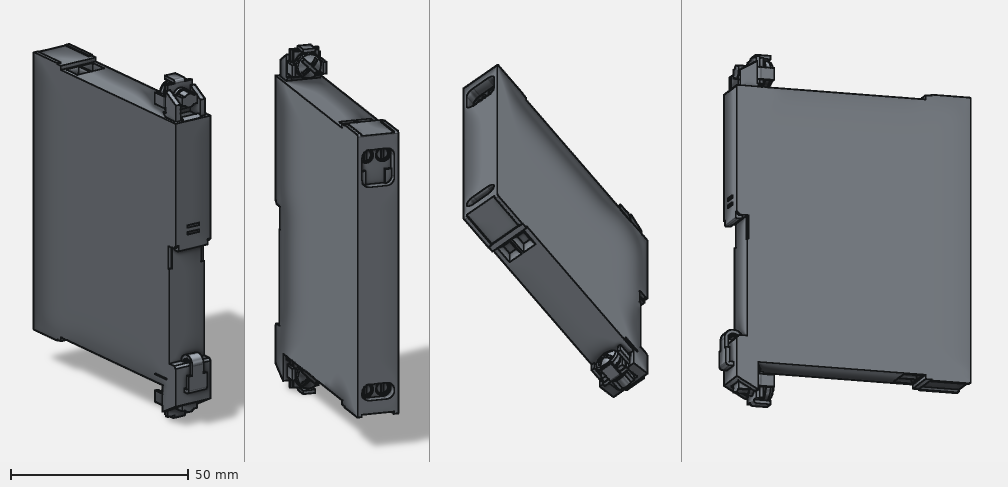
import cadquery as cq
import math


HEIGHT = 101.5
MID_Z = HEIGHT / 2
WIDTH = 12.2

BACK_X = 69.3
RAIL_X = 66.2
BODY_BOTTOM = 11.0
BODY_TOP = 91.1
COVER_RISE = 1.5
COVER_STEP_RISE = 1.2
COVER_RIB_X = 11.6
COVER_X = 13.4
COVER_CORNER = 0.5
RIB_THICKNESS = 1.2
TOP_RECESS = 0.3
BOTTOM_RECESS = 0.8
HOOK_Z = 53.5
HOOK_CHAMFER = 0.9
LEDGE_Z = 18.4
LEDGE_CHAMFER = 0.7
FOOT_X = 62.9
FOOT_TIP_Z = 2.9
FOOT_BACK_Z = 6.4

HOOK_LIP_X = 67.4
HOOK_LIP_Z = 52.6
HOOK_LIP_HEIGHT = 2.2
HOOK_LIP_WIDTH = 10.2
HOOK_LIP_ROUND = 0.4
SIDE_NOTCH_DEPTH = 0.4
SIDE_NOTCH_BOTTOM = 46.7
SIDE_NOTCH_WALL = 1.0
NUB_CENTERS_Z = (57.5, 59.6)
NUB_HEIGHT = 0.7
NUB_RISE = 0.2
NUB_WIDTH = 4.1

LUG_WIDTH = 10.2
LUG_BACK_X = 68.0
LUG_SLOPE = math.tan(math.radians(30))
LUG_TIP_Z = 99.0
SLOT_WIDTH = 6.9
LUG_WEDGE = 1.0
LUG_WEDGE_WIDTH = 6.1
GUSSET = 1.0

WINDOW_WIDTH = 9.7
WINDOW_DEPTH = 3.0
UPPER_WINDOW_BOTTOM = 77.0
UPPER_WINDOW_TOP = 88.0
UPPER_WINDOW_CORNER = 2.3
LOWER_WINDOW_BOTTOM = 14.2
LOWER_WINDOW_TOP = 19.0
TAB_WIDTH = 1.9
TAB_TOP = 81.2
TAB_RISE = 0.9
UPPER_SCREW_Z = 85.5
LOWER_SCREW_Z = 16.5
SCREW_PITCH = 5.1
SOCKET_RADIUS = 2.1
SOCKET_DEPTH = 1.0
SCREW_RADIUS = 1.7
SCREW_RISE = 0.5
DRIVER_SLOT_WIDTH = 0.8
DRIVER_SLOT_DEPTH = 0.4

ENTRY_X = 16.7
ENTRY_PITCH = 5.0
ENTRY_LENGTH = 5.5
ENTRY_WIDTH = 4.4
ENTRY_END_LENGTH = 2.9
ENTRY_END_WIDTH = 2.3
ENTRY_DEPTH = 2.3

GROOVE_X = 59.3
GROOVE_LENGTH = 5.5
GROOVE_Z = 13.3
GROOVE_SIZE = 0.2

AXIS_Z = 96.4
PLATE_HALF_HEIGHT = 4.1
PLATE_WIDTH = 8.5
PLATE_THICKNESS = 1.0
FLANGE_X = 58.0
FLANGE_THICKNESS = 1.0
TOP_FLANGE_WIDTH = 3.7
SIDE_FLANGE_BOTTOM = 93.7
SIDE_FLANGE_TOP = 97.1
SIDE_FLANGE_WIDTH = 10.4
BEND_ROUND = 0.9
WASHER_THICKNESS = 1.2
WASHER_SIZE = 7.5
SPRING_RADIUS = 3.0
HEAD_BACK_X = 59.9
HEAD_RIM_X = 58.6
DOME_X = 57.9
HEAD_FRONT_X = 56.7
HEAD_RADIUS = 3.8
DOME_RADIUS = 3.5
CROSS_LENGTH = 5.7
CROSS_WIDTH = 1.0
CROSS_DEPTH = 1.2
COLLAR_LENGTH = 1.3
COLLAR_RADIUS = 2.5
NUT_END_X = 67.6
NUT_RADIUS = 2.0
NUT_BLOCK_WIDTH = 5.3
NUT_BLOCK_HEIGHT = 2.6

CLIP_X = 71.7
CLIP_THICKNESS = 1.1
CLIP_WIDTH = 6.3
CLIP_ARCH_WIDTH = 3.9
CLIP_SHOULDER_Z = 15.4
CLIP_ARCH_RADIUS = 2.5
CLIP_END_RADIUS = 3.1
CLIP_HOOK_RISE = 0.7
CLIP_HOOK_LENGTH = 2.0
CLIP_HOOK_THICKNESS = 0.4
CLIP_FOOT_Z = 10.2
CLIP_CORNER = 1.0


def box(x0, x1, width, z0, z1, y=0.0):
    """Box between two X and two Z values, centred on y."""
    return cq.Workplane("XY").box(x1 - x0, width, z1 - z0).translate(((x0 + x1) / 2, y, (z0 + z1) / 2))


def rod(x0, x1, radius, z, y=0.0):
    """Cylinder along X."""
    return cq.Workplane("YZ", origin=(x0, y, z)).circle(radius).extrude(x1 - x0)


def plate(outline, width):
    """XZ outline extruded symmetrically across Y."""
    return cq.Workplane("XZ").polyline(outline).close().extrude(width / 2, both=True)


def housing_blank():
    cover_bottom = BODY_BOTTOM - COVER_RISE
    cover_top = BODY_TOP + COVER_RISE
    step_bottom = BODY_BOTTOM - COVER_STEP_RISE
    step_top = BODY_TOP + COVER_STEP_RISE
    blank = plate([
        (0, cover_bottom),
        (COVER_RIB_X, cover_bottom),
        (COVER_RIB_X, step_bottom),
        (COVER_X, step_bottom),
        (COVER_X, BODY_BOTTOM),
        (FOOT_X, BODY_BOTTOM),
        (FOOT_X, FOOT_TIP_Z),
        (BACK_X, FOOT_BACK_Z),
        (BACK_X, LEDGE_Z - LEDGE_CHAMFER),
        (BACK_X - LEDGE_CHAMFER, LEDGE_Z),
        (RAIL_X, LEDGE_Z),
        (RAIL_X, HOOK_Z),
        (BACK_X - HOOK_CHAMFER, HOOK_Z),
        (BACK_X, HOOK_Z + HOOK_CHAMFER),
        (BACK_X, BODY_TOP),
        (COVER_X, BODY_TOP),
        (COVER_X, step_top),
        (COVER_RIB_X, step_top),
        (COVER_RIB_X, cover_top),
        (0, cover_top),
    ], WIDTH)
    blank = blank.faces("<X").edges("|Y").fillet(COVER_CORNER)
    recess_width = WIDTH - 2 * RIB_THICKNESS
    blank = blank.cut(box(0, COVER_RIB_X, recess_width, cover_top - TOP_RECESS, cover_top))
    return blank.cut(box(0, COVER_RIB_X, recess_width, cover_bottom, cover_bottom + BOTTOM_RECESS))


def add_rail_features(body):
    lip = box(HOOK_LIP_X, BACK_X, HOOK_LIP_WIDTH, HOOK_LIP_Z, HOOK_LIP_Z + HOOK_LIP_HEIGHT)
    body = body.union(lip.edges("|Y and <Z").fillet(HOOK_LIP_ROUND))
    for side in (-1, 1):
        wall_y = side * (WIDTH - SIDE_NOTCH_WALL) / 2
        notch_x = RAIL_X - SIDE_NOTCH_DEPTH
        body = body.cut(box(notch_x, RAIL_X, SIDE_NOTCH_WALL, SIDE_NOTCH_BOTTOM, HOOK_Z, wall_y))
    for z in NUB_CENTERS_Z:
        nub_bottom = z - NUB_HEIGHT / 2
        nub = box(BACK_X - NUB_RISE, BACK_X + NUB_RISE, NUB_WIDTH, nub_bottom, nub_bottom + NUB_HEIGHT)
        body = body.union(nub)
    return body


def add_terminal_seats(body):
    lug_back_z = LUG_TIP_Z - LUG_SLOPE * (LUG_BACK_X - FOOT_X)
    body = body.union(plate([
        (FOOT_X, BODY_TOP),
        (LUG_BACK_X, BODY_TOP),
        (LUG_BACK_X, lug_back_z),
        (FOOT_X, LUG_TIP_Z),
    ], LUG_WIDTH))
    body = body.union(plate([
        (LUG_BACK_X, BODY_TOP),
        (LUG_BACK_X + LUG_WEDGE, BODY_TOP),
        (LUG_BACK_X, BODY_TOP + LUG_WEDGE),
    ], LUG_WEDGE_WIDTH))
    seat_top = AXIS_Z - PLATE_HALF_HEIGHT
    for corner_z, tip_z in ((BODY_TOP, seat_top), (BODY_BOTTOM, HEIGHT - seat_top)):
        body = body.union(plate([
            (FOOT_X, corner_z),
            (FOOT_X, tip_z),
            (FOOT_X - GUSSET, tip_z),
        ], LUG_WIDTH))
    body = body.cut(box(FOOT_X, LUG_BACK_X, SLOT_WIDTH, BODY_TOP, HEIGHT))
    return body.cut(box(FOOT_X, LUG_BACK_X, SLOT_WIDTH, 0, HEIGHT - BODY_TOP))


def add_connection_screws(body, z):
    """Two slotted screws in sockets in a window floor."""
    floor = WINDOW_DEPTH + SOCKET_DEPTH
    front = floor - SCREW_RISE
    for y in (-SCREW_PITCH / 2, SCREW_PITCH / 2):
        body = body.cut(rod(WINDOW_DEPTH, floor, SOCKET_RADIUS, z, y))
        body = body.union(rod(front, floor, SCREW_RADIUS, z, y))
        body = body.cut(box(front, front + DRIVER_SLOT_DEPTH, DRIVER_SLOT_WIDTH,
                            z - SCREW_RADIUS, z + SCREW_RADIUS, y))
    return body


def add_front_windows(body):
    upper = box(0, WINDOW_DEPTH, WINDOW_WIDTH, UPPER_WINDOW_BOTTOM, UPPER_WINDOW_TOP)
    upper = upper.edges("|X").fillet(UPPER_WINDOW_CORNER)
    for side in (-1, 1):
        tab_y = side * (WINDOW_WIDTH - TAB_WIDTH) / 2
        tab_x = WINDOW_DEPTH - TAB_RISE
        upper = upper.cut(box(tab_x, WINDOW_DEPTH, TAB_WIDTH, UPPER_WINDOW_BOTTOM, TAB_TOP, tab_y))
    window_height = LOWER_WINDOW_TOP - LOWER_WINDOW_BOTTOM
    lower_z = (LOWER_WINDOW_TOP + LOWER_WINDOW_BOTTOM) / 2
    lower = (
        cq.Workplane("YZ", origin=(0, 0, lower_z))
        .slot2D(WINDOW_WIDTH, window_height)
        .extrude(WINDOW_DEPTH)
    )
    body = body.cut(upper).cut(lower)
    body = add_connection_screws(body, UPPER_SCREW_Z)
    return add_connection_screws(body, LOWER_SCREW_Z)


def cut_wire_entries(body):
    for z, inward in ((BODY_TOP, -1), (BODY_BOTTOM, 1)):
        for y in (-ENTRY_PITCH / 2, ENTRY_PITCH / 2):
            funnel = (
                cq.Workplane("XY", origin=(ENTRY_X, y, z))
                .rect(ENTRY_LENGTH, ENTRY_WIDTH)
                .workplane(offset=inward * ENTRY_DEPTH)
                .rect(ENTRY_END_LENGTH, ENTRY_END_WIDTH)
                .loft(ruled=True)
            )
            body = body.cut(funnel)
    return body


def make_housing():
    body = add_terminal_seats(housing_blank())
    body = add_rail_features(body)
    body = add_front_windows(body)
    body = cut_wire_entries(body)
    groove_y = -(WIDTH - GROOVE_SIZE) / 2
    return body.cut(box(GROOVE_X, GROOVE_X + GROOVE_LENGTH, GROOVE_SIZE,
                        GROOVE_Z - GROOVE_SIZE / 2, GROOVE_Z + GROOVE_SIZE / 2, groove_y))


def screw_head():
    """Domed head with a conical rim and a diagonal cross recess."""
    dome_mid_x = HEAD_FRONT_X + (DOME_X - HEAD_FRONT_X) / 4
    head = (
        cq.Workplane("XY")
        .moveTo(HEAD_BACK_X, 0)
        .lineTo(HEAD_BACK_X, HEAD_RADIUS)
        .lineTo(HEAD_RIM_X, HEAD_RADIUS)
        .lineTo(DOME_X, DOME_RADIUS)
        .threePointArc((dome_mid_x, DOME_RADIUS / 2), (HEAD_FRONT_X, 0))
        .close()
        .revolve(360, (0, 0, 0), (1, 0, 0))
    )
    for angle in (45, -45):
        arm = box(HEAD_FRONT_X, HEAD_FRONT_X + CROSS_DEPTH, CROSS_WIDTH, -CROSS_LENGTH / 2, CROSS_LENGTH / 2)
        head = head.cut(arm.rotate((0, 0, 0), (1, 0, 0), angle))
    return head.translate((0, 0, AXIS_Z))


def make_terminal(upper):
    plate_x = FOOT_X - PLATE_THICKNESS
    washer_x = plate_x - WASHER_THICKNESS
    clamp = box(plate_x, FOOT_X, PLATE_WIDTH, AXIS_Z - PLATE_HALF_HEIGHT, AXIS_Z + PLATE_HALF_HEIGHT)
    top_flange = box(FLANGE_X, FOOT_X, TOP_FLANGE_WIDTH, HEIGHT - FLANGE_THICKNESS, HEIGHT)
    clamp = clamp.union(top_flange.edges("|Y and >X and >Z").fillet(BEND_ROUND))
    for side in (-1, 1):
        flange_y = side * (SIDE_FLANGE_WIDTH - FLANGE_THICKNESS) / 2
        flange = box(FLANGE_X, FOOT_X, FLANGE_THICKNESS, SIDE_FLANGE_BOTTOM, SIDE_FLANGE_TOP, flange_y)
        outer_corner = "|Z and >X and >Y" if side > 0 else "|Z and >X and <Y"
        clamp = clamp.union(flange.edges(outer_corner).fillet(BEND_ROUND))
    half_washer = WASHER_SIZE / 2
    clamp = clamp.union(box(washer_x, plate_x, WASHER_SIZE, AXIS_Z - half_washer, AXIS_Z + half_washer))
    clamp = clamp.union(rod(HEAD_BACK_X, washer_x, SPRING_RADIUS, AXIS_Z))
    clamp = clamp.union(screw_head())
    collar_end = FOOT_X + COLLAR_LENGTH
    half_block = NUT_BLOCK_HEIGHT / 2
    clamp = clamp.union(rod(FOOT_X, collar_end, COLLAR_RADIUS, AXIS_Z))
    clamp = clamp.union(rod(collar_end, NUT_END_X, NUT_RADIUS, AXIS_Z))
    clamp = clamp.union(box(collar_end, NUT_END_X, NUT_BLOCK_WIDTH, AXIS_Z - half_block, AXIS_Z + half_block))
    return clamp if upper else clamp.mirror("XY", (0, 0, MID_Z))


def make_clip():
    inner_x = CLIP_X - CLIP_THICKNESS
    base = plate([
        (BACK_X, CLIP_FOOT_Z),
        (CLIP_X, CLIP_FOOT_Z),
        (CLIP_X, CLIP_SHOULDER_Z),
        (inner_x, CLIP_SHOULDER_Z),
        (inner_x, CLIP_FOOT_Z + CLIP_THICKNESS),
        (BACK_X, CLIP_FOOT_Z + CLIP_THICKNESS),
    ], CLIP_WIDTH)
    base = base.edges("|Y and >X and <Z").fillet(CLIP_CORNER)
    center_x = CLIP_X - CLIP_ARCH_RADIUS
    crown_z = LEDGE_Z + CLIP_ARCH_RADIUS
    end_center_z = crown_z - CLIP_END_RADIUS
    inner_end_radius = CLIP_END_RADIUS - CLIP_THICKNESS
    drop = LEDGE_Z - end_center_z
    outer_end_z = end_center_z + math.sqrt(CLIP_END_RADIUS**2 - (center_x - RAIL_X) ** 2)
    inner_end_x = center_x - math.sqrt(inner_end_radius**2 - drop**2)
    arch = (
        cq.Workplane("XZ")
        .moveTo(CLIP_X, CLIP_SHOULDER_Z)
        .lineTo(CLIP_X, LEDGE_Z)
        .tangentArcPoint((center_x, crown_z), relative=False)
        .tangentArcPoint((RAIL_X, outer_end_z), relative=False)
        .lineTo(RAIL_X, LEDGE_Z)
        .lineTo(inner_end_x, LEDGE_Z)
        .radiusArc((center_x, crown_z - CLIP_THICKNESS), inner_end_radius)
        .tangentArcPoint((inner_x, LEDGE_Z), relative=False)
        .lineTo(inner_x, CLIP_SHOULDER_Z)
        .close()
        .extrude(CLIP_ARCH_WIDTH / 2, both=True)
    )
    hook = plate([
        (inner_end_x, LEDGE_Z),
        (inner_end_x + CLIP_HOOK_THICKNESS, LEDGE_Z),
        (inner_end_x + CLIP_HOOK_LENGTH, LEDGE_Z + CLIP_HOOK_RISE),
        (inner_end_x + CLIP_HOOK_LENGTH, LEDGE_Z + CLIP_HOOK_RISE + CLIP_HOOK_THICKNESS),
        (inner_end_x, LEDGE_Z + CLIP_HOOK_THICKNESS),
    ], CLIP_ARCH_WIDTH)
    return base.union(arch).union(hook)


housing = make_housing()
terminals = [make_terminal(upper) for upper in (True, False)]
clip = make_clip()

result = cq.Compound.makeCompound([housing.val(), *[terminal.val() for terminal in terminals], clip.val()])